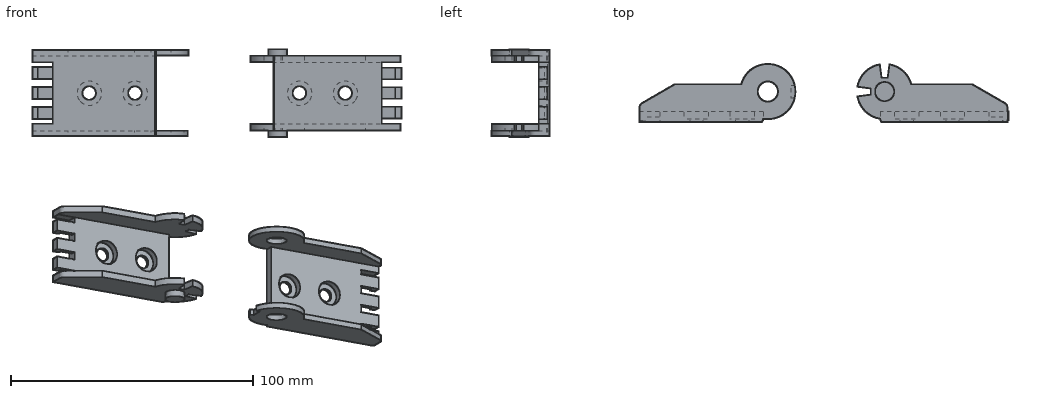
import cadquery as cq
import math


total_length = 152.4
socket_axis_x = 53.0
pin_axis_x = 101.2

axis_y = 12.6
ear_radius = 11.5
web_thickness = 4.5
flange_depth = 15.7
tip_slope_angle = 30.0
tip_slope_length = 14.6
tip_fillet = 2.5
bevel_length = 0.5
bevel_depth = 0.9
slot_height = 25.3
screw_radius = 2.7
screw_spacing = 18.9
screw_head_radius = 5.0
screw_seat = 1.4

tooth_count = 3
tongue_front = 2.3
lip_front = 0.9

socket_height = 35.5
socket_flange = 2.3
socket_hole_radius = 4.1
socket_web_start = 2.0
socket_tip = socket_axis_x
rim_notch_floor = 9.5
rim_notch_width = 5.2
socket_slot_length = 8.4
socket_screw_start = 10.7
socket_tooth_pitch = 8.2
socket_tooth_height = 5.0
socket_lip_length = 2.3

pin_leaf_height = 31.0
pin_flange = 2.7
pin_radius = 4.0
pin_web_start = -1.8
pin_span = 36.3
pin_tooth_tip = total_length - pin_axis_x
pin_tooth_overhang = 0.5
pin_tip = pin_tooth_tip - pin_tooth_overhang
pin_slot_length = 7.8
pin_screw_start = 9.0
pin_tooth_pitch = 8.1
pin_tooth_height = 4.9
pin_lip_length = 2.7

notch_floor = 5.8
notch_floor_width = 2.5
notch_rim_width = 4.0


def slab(outline, bottom, top):
    """Extrude an XY outline between two heights."""
    return outline.extrude(top - bottom).translate((0, 0, bottom))


def block(x_range, y_range, z_range):
    """Box given by its limits along each axis."""
    outline = cq.Workplane("XY").polyline([
        (x_range[0], y_range[0]),
        (x_range[1], y_range[0]),
        (x_range[1], y_range[1]),
        (x_range[0], y_range[1]),
    ]).close()
    return slab(outline, *z_range)


def flange(web_start, tip, bottom, top):
    """Flange with a sloped, rounded tip and a round ear about the hinge axis."""
    shoulder_y = flange_depth - tip_slope_length * math.tan(math.radians(tip_slope_angle))
    arm_outline = cq.Workplane("XY").polyline([
        (web_start, bevel_depth),
        (web_start + bevel_length, 0),
        (tip, 0),
        (tip, shoulder_y),
        (tip - tip_slope_length, flange_depth),
        (web_start, flange_depth),
    ]).close()
    arm = slab(arm_outline, bottom, top)
    shoulder = cq.selectors.NearestToPointSelector((tip, shoulder_y, (bottom + top) / 2))
    arm = arm.edges(shoulder).fillet(tip_fillet)
    ear = slab(cq.Workplane("XY").center(0, axis_y).circle(ear_radius), bottom, top)
    return arm.union(ear)


def web(web_start, tip, height, slot_length):
    """Web plate, bevelled at the hinge end and slotted at the toothed end."""
    outline = cq.Workplane("XY").polyline([
        (web_start, web_thickness),
        (web_start, bevel_depth),
        (web_start + bevel_length, 0),
        (tip, 0),
        (tip, web_thickness),
    ]).close()
    plate = slab(outline, -height / 2, height / 2)
    slot = block((tip - slot_length, tip), (0, web_thickness), (-slot_height / 2, slot_height / 2))
    return plate.cut(slot)


def tooth(root, tooth_tip, lip_length, height, center_z):
    """Tongue flush with the back of the web, with a forward lip at its tip."""
    outline = cq.Workplane("XY").polyline([
        (root, web_thickness),
        (root, tongue_front),
        (tooth_tip - lip_length, tongue_front),
        (tooth_tip - lip_length, lip_front),
        (tooth_tip, lip_front),
        (tooth_tip, web_thickness),
    ]).close()
    return slab(outline, center_z - height / 2, center_z + height / 2)


def screw_holes(start):
    """Pair of round cutters through the web, counterbored from its back."""
    centers = [(start, 0), (start + screw_spacing, 0)]
    bores = cq.Workplane("XZ").pushPoints(centers).circle(screw_radius).extrude(-web_thickness)
    head_plane = cq.Workplane("XZ", origin=(0, screw_seat, 0))
    heads = head_plane.pushPoints(centers).circle(screw_head_radius).extrude(screw_seat - web_thickness)
    return bores.union(heads)


def leaf(web_start, tip, height, flange_thickness, slot_length, screw_start):
    """Channel shared by both leaves: web, two flanges with ears, and screw holes."""
    half = height / 2
    body = web(web_start, tip, height, slot_length)
    body = body.union(flange(web_start, tip, half - flange_thickness, half))
    body = body.union(flange(web_start, tip, -half, flange_thickness - half))
    return body.cut(screw_holes(screw_start))


def add_teeth(body, root, tooth_tip, lip_length, height, pitch):
    """Join a centred row of teeth to a leaf."""
    for index in range(tooth_count):
        center_z = (index - (tooth_count - 1) / 2) * pitch
        body = body.union(tooth(root, tooth_tip, lip_length, height, center_z))
    return body


def ear_notch(direction_angle):
    """Tapered cutter through both ears, pointing outwards from the hinge axis."""
    floor = notch_floor_width / 2
    rim = notch_rim_width / 2
    outline = cq.Workplane("XY").polyline([
        (notch_floor, -floor),
        (ear_radius, -rim),
        (ear_radius, rim),
        (notch_floor, floor),
    ]).close()
    cutter = slab(outline, -pin_leaf_height / 2, pin_leaf_height / 2)
    return cutter.rotate((0, 0, 0), (0, 0, 1), direction_angle).translate((0, axis_y, 0))


def make_socket_leaf():
    body = leaf(
        socket_web_start, socket_tip, socket_height,
        socket_flange, socket_slot_length, socket_screw_start,
    )
    body = add_teeth(
        body, socket_tip - socket_slot_length, socket_tip,
        socket_lip_length, socket_tooth_height, socket_tooth_pitch,
    )
    hole_outline = cq.Workplane("XY").center(0, axis_y).circle(socket_hole_radius)
    body = body.cut(slab(hole_outline, -socket_height / 2, socket_height / 2))
    body = body.cut(block(
        (-ear_radius, -rim_notch_floor),
        (axis_y - rim_notch_width / 2, axis_y + rim_notch_width / 2),
        (-socket_height / 2, socket_flange - socket_height / 2),
    ))
    return body.mirror("YZ").translate((socket_axis_x, 0, 0))


def make_pin_leaf():
    body = leaf(
        pin_web_start, pin_tip, pin_leaf_height,
        pin_flange, pin_slot_length, pin_screw_start,
    )
    body = add_teeth(
        body, pin_tip - pin_slot_length, pin_tooth_tip,
        pin_lip_length, pin_tooth_height, pin_tooth_pitch,
    )
    for direction_angle in (90, 180):
        body = body.cut(ear_notch(direction_angle))
    ear_face = pin_leaf_height / 2
    pin_end = pin_span / 2
    for bottom, top in ((ear_face, pin_end), (-pin_end, -ear_face)):
        pin_outline = cq.Workplane("XY").center(0, axis_y).circle(pin_radius)
        body = body.union(slab(pin_outline, bottom, top))
    return body.translate((pin_axis_x, 0, 0))


socket_leaf = make_socket_leaf().solids()
pin_leaf = make_pin_leaf().solids()

result = cq.Compound.makeCompound([socket_leaf.val(), pin_leaf.val()])